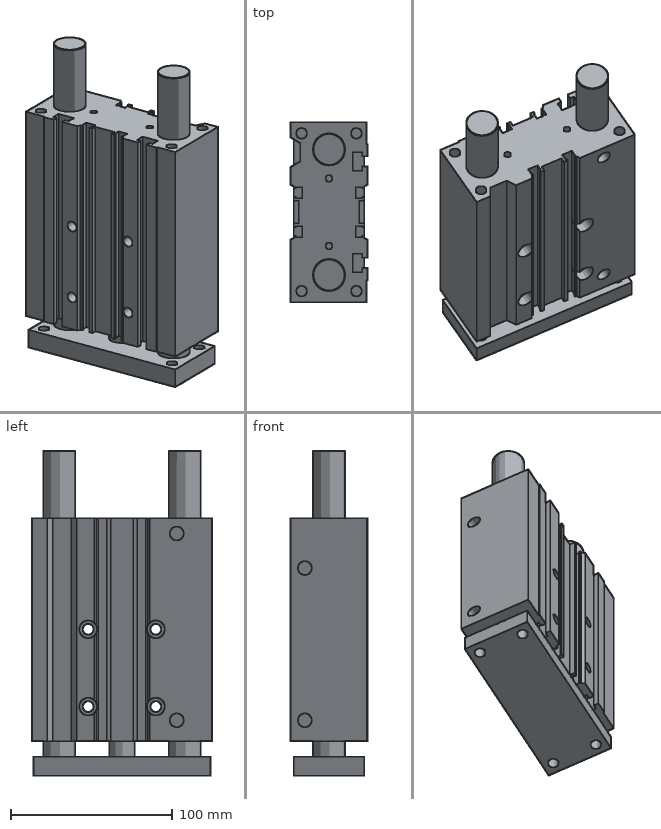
import cadquery as cq
import math

PLATE_X, PLATE_Y, PLATE_THICK = 44.0, 110.0, 12.0
GUIDE_DIA = 20.0
GUIDE_PITCH = 78.0
GUIDE_CHAMFER = 0.4
OVERALL_HEIGHT = 202.0
PISTON_ROD_DIA = 16.0
PLATE_HOLE_DIA = 6.6
PLATE_HOLE_PITCH_X, PLATE_HOLE_PITCH_Y = 30.0, 96.0

HOUSING_X, HOUSING_Y = 48.0, 112.0
HOUSING_BOTTOM = 21.5
HOUSING_TOP = 160.0
HOUSING_LENGTH = HOUSING_TOP - HOUSING_BOTTOM
SIDE = HOUSING_X / 2

STEP_DEPTH = 0.7
STEP_START_Y = 42.3

TRAPEZOID_Y = 37.2
TRAPEZOID_HALF_MOUTH = 9.2
TRAPEZOID_DEPTH = 6.0
TRAPEZOID_FLANK_ANGLE = 30.0

RECESS_HALF_MOUTH = 17.1
RECESS_HALF_WIDTH = 16.0
RECESS_DEPTH = 2.0
RECESS_FLOOR_HALF_WIDTH = 7.0
RECESS_FLOOR_DEPTH = 5.3
SENSOR_SLOT_Y = 12.1
SENSOR_NECK_WIDTH = 5.3
SENSOR_SLOT_WIDTH = 6.6
SENSOR_LIP_DEPTH = 3.2
SENSOR_SLOT_DEPTH = 7.5

T_SLOT_Y = 31.5
T_SLOT_NECK = 6.2
T_SLOT_WIDTH = 11.4
T_SLOT_LIP = 3.3
T_SLOT_DEPTH = 9.2

CORNER_PITCH_X, CORNER_PITCH_Y = 34.0, 98.0
CORNER_HOLE_DIA = 6.6
CORNER_HOLE_DEPTH = 20.0

MOUNT_PITCH_Y = 42.0
MOUNT_LEVELS = (43.0, 91.0)
MOUNT_HOLE_DIA = 6.6
MOUNT_BORE_DIA = 11.0
MOUNT_BORE_DEPTH = 7.5

TOP_HOLE_DIA = 4.2
TOP_HOLE_DEPTH = 10.0

PORT_DIA = 8.6
PORT_DEPTH = 12.0
SIDE_PORT_Y = -34.0
SIDE_PORT_LEVELS = (34.5, 150.5)
END_PORT_X = -15.0
END_PORT_LEVELS = (34.5, 129.0)


def groove_box(side, y, width, depth):
    """Full-length rectangular groove, cut from the X side given by side = -1 or +1."""
    return (
        cq.Workplane("XY", origin=(side * (SIDE - depth / 2), y, HOUSING_BOTTOM))
        .rect(depth, width)
        .extrude(HOUSING_LENGTH)
    )


def cylinder_along_x(x_start, length, y, z, diameter):
    return cq.Workplane("YZ", origin=(x_start, y, z)).circle(diameter / 2).extrude(length)


def cut_t_slot(body, side, y, neck, width, lip, depth):
    """T-slot whose narrow neck opens on the X side and whose wide part lies behind a lip."""
    wide_part = (
        cq.Workplane("XY", origin=(side * (SIDE - (lip + depth) / 2), y, HOUSING_BOTTOM))
        .rect(depth - lip, width)
        .extrude(HOUSING_LENGTH)
    )
    return body.cut(groove_box(side, y, neck, depth)).cut(wide_part)


def cut_corner_steps(body):
    step_width = HOUSING_Y / 2 - STEP_START_Y
    for end in (-1, 1):
        body = body.cut(groove_box(1, end * (STEP_START_Y + step_width / 2), step_width, STEP_DEPTH))
    return body


def cut_trapezoid_groove(body):
    half_floor = TRAPEZOID_HALF_MOUTH - TRAPEZOID_DEPTH * math.tan(math.radians(TRAPEZOID_FLANK_ANGLE))
    groove = (
        cq.Workplane("XY", origin=(-SIDE, TRAPEZOID_Y, HOUSING_BOTTOM))
        .polyline([
            (0, -TRAPEZOID_HALF_MOUTH),
            (TRAPEZOID_DEPTH, -half_floor),
            (TRAPEZOID_DEPTH, half_floor),
            (0, TRAPEZOID_HALF_MOUTH),
        ])
        .close()
        .extrude(HOUSING_LENGTH)
    )
    return body.cut(groove)


def cut_middle_recess(body, side):
    """Flared recess with a deeper central floor between two sensor slots."""
    floor_x = side * (SIDE - RECESS_DEPTH)
    flare = (
        cq.Workplane("XY", origin=(0, 0, HOUSING_BOTTOM))
        .polyline([
            (side * SIDE, -RECESS_HALF_MOUTH),
            (floor_x, -RECESS_HALF_WIDTH),
            (floor_x, RECESS_HALF_WIDTH),
            (side * SIDE, RECESS_HALF_MOUTH),
        ])
        .close()
        .extrude(HOUSING_LENGTH)
    )
    body = body.cut(flare)
    body = body.cut(groove_box(side, 0, 2 * RECESS_FLOOR_HALF_WIDTH, RECESS_FLOOR_DEPTH))
    for end in (-1, 1):
        body = cut_t_slot(
            body, side, end * SENSOR_SLOT_Y,
            SENSOR_NECK_WIDTH, SENSOR_SLOT_WIDTH, SENSOR_LIP_DEPTH, SENSOR_SLOT_DEPTH,
        )
    return body


def cut_mounting_holes(body):
    """Through holes across X, counterbored on the -X side."""
    for y in (-MOUNT_PITCH_Y / 2, MOUNT_PITCH_Y / 2):
        for z in MOUNT_LEVELS:
            body = body.cut(cylinder_along_x(-SIDE, HOUSING_X, y, z, MOUNT_HOLE_DIA))
            body = body.cut(cylinder_along_x(-SIDE, MOUNT_BORE_DEPTH, y, z, MOUNT_BORE_DIA))
    return body


def cut_ports(body):
    for z in SIDE_PORT_LEVELS:
        body = body.cut(cylinder_along_x(-SIDE, PORT_DEPTH, SIDE_PORT_Y, z, PORT_DIA))
    for z in END_PORT_LEVELS:
        port = (
            cq.Workplane("XZ", origin=(END_PORT_X, -HOUSING_Y / 2, z))
            .circle(PORT_DIA / 2)
            .extrude(-PORT_DEPTH)
        )
        body = body.cut(port)
    return body


def cut_top_holes(body):
    """Blind holes in the top face: four at the corners and two on the centre line."""
    top = cq.Workplane("XY", origin=(0, 0, HOUSING_TOP))
    corner_holes = (
        top.rarray(CORNER_PITCH_X, CORNER_PITCH_Y, 2, 2)
        .circle(CORNER_HOLE_DIA / 2)
        .extrude(-CORNER_HOLE_DEPTH)
    )
    centre_holes = (
        top.rarray(1, MOUNT_PITCH_Y, 1, 2)
        .circle(TOP_HOLE_DIA / 2)
        .extrude(-TOP_HOLE_DEPTH)
    )
    return body.cut(corner_holes).cut(centre_holes)


def cut_guide_bores(body):
    bores = (
        cq.Workplane("XY", origin=(0, 0, HOUSING_BOTTOM))
        .rarray(1, GUIDE_PITCH, 1, 2)
        .circle(GUIDE_DIA / 2)
        .extrude(HOUSING_LENGTH)
    )
    return body.cut(bores)


def make_housing():
    body = (
        cq.Workplane("XY", origin=(0, 0, HOUSING_BOTTOM))
        .rect(HOUSING_X, HOUSING_Y)
        .extrude(HOUSING_LENGTH)
    )
    body = cut_corner_steps(body)
    body = cut_trapezoid_groove(body)
    for side in (-1, 1):
        body = cut_middle_recess(body, side)
    for end in (-1, 1):
        body = cut_t_slot(
            body, 1, end * T_SLOT_Y, T_SLOT_NECK, T_SLOT_WIDTH, T_SLOT_LIP, T_SLOT_DEPTH
        )
    body = cut_guide_bores(body)
    body = cut_mounting_holes(body)
    body = cut_ports(body)
    return cut_top_holes(body)


def make_slider():
    """End plate carrying the two guide rods and the piston rod."""
    plate = (
        cq.Workplane("XY")
        .rect(PLATE_X, PLATE_Y)
        .extrude(PLATE_THICK)
    )
    plate_holes = (
        cq.Workplane("XY")
        .rarray(PLATE_HOLE_PITCH_X, PLATE_HOLE_PITCH_Y, 2, 2)
        .circle(PLATE_HOLE_DIA / 2)
        .extrude(PLATE_THICK)
    )
    guide_rods = (
        cq.Workplane("XY", origin=(0, 0, PLATE_THICK))
        .rarray(1, GUIDE_PITCH, 1, 2)
        .circle(GUIDE_DIA / 2)
        .extrude(OVERALL_HEIGHT - PLATE_THICK)
        .faces(">Z")
        .chamfer(GUIDE_CHAMFER)
    )
    piston_rod = (
        cq.Workplane("XY", origin=(0, 0, PLATE_THICK))
        .circle(PISTON_ROD_DIA / 2)
        .extrude(HOUSING_BOTTOM - PLATE_THICK)
    )
    return plate.cut(plate_holes).union(guide_rods).union(piston_rod)


housing = make_housing()
slider = make_slider()

result = cq.Compound.makeCompound([housing.val(), slider.val()])